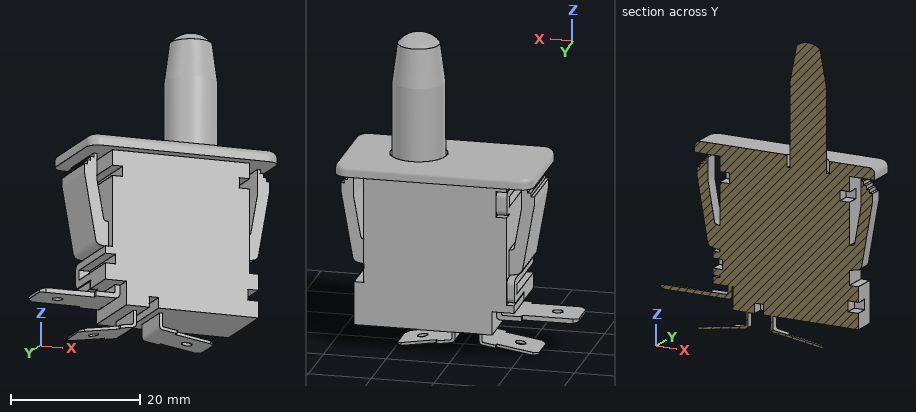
import cadquery as cq
import math

OVERALL_LENGTH = 37.77
OVERALL_HEIGHT = 50.29

PLATE_LENGTH = 31.65
PLATE_WIDTH = 17.0
PLATE_THICKNESS = 2.0
PLATE_CORNER_RADIUS = 2.0
PLATE_TOP_RADIUS = 1.0

PLUNGER_X = 4.14
PLUNGER_DIAMETER = 8.35
PLUNGER_BORE_DIAMETER = 9.0
PLUNGER_SHANK_HEIGHT = 11.75
PLUNGER_TAPER_HEIGHT = 6.25
PLUNGER_HEIGHT = 19.65
PLUNGER_TIP_DIAMETER = 6.7

BODY_LENGTH = 22.8
BODY_WIDTH = 13.0
BODY_BOTTOM_Z = -24.66
LEFT_LEDGE_X = -12.6
LEFT_LEDGE_TOP_Z = -15.5
LEFT_LEDGE_BOTTOM_Z = -20.86
LEFT_FOOT_X = -9.1
RIGHT_LEDGE_X = 12.95
RIGHT_LEDGE_TOP_Z = -17.62

SLOT_DEPTH = 1.7
SLOT_END_Y = 4.66
UPPER_SLOT_Z = -3.3
UPPER_SLOT_WIDTH = 1.65
LEFT_SLOT_Z = -17.48
LEFT_SLOT_WIDTH = 1.55
RIGHT_SLOT_Z = -21.08
RIGHT_SLOT_WIDTH = 1.7
RIGHT_SLOT_DEPTH = 1.82
BOTTOM_SLOT_X = -4.5
BOTTOM_SLOT_WIDTH = 1.55

STRAP_END_Y = 6.35
STRAP_WIDTH = 3.96
STRAP_CORNER_RADIUS = 1.0
STRAP_GAP = 0.1
LOWER_STRAP_GAP = 0.15

CLIP_WIDTH = 9.72
CLIP_TOP_Z = -0.37
CLIP_TIP_OUTER_X = 13.86
CLIP_INNER_X = 13.37
CLIP_STEP_RUN = 0.52
CLIP_STEP_DROP = 0.6
CLIP_STEP_COUNT = 3
CLIP_OUTER_KNEE_Z = -3.6
CLIP_INNER_KNEE_Z = -4.3
CLIP_ANGLE = math.radians(10)
CLIP_ROOT_TOP_Z = -11.15
CLIP_ROOT_BOTTOM_Z = -15.24
CLIP_INNER_RADIUS = 0.5
CLIP_OUTER_RADIUS = 1.0

BLADE_WIDTH = 6.3
BLADE_TIP_CHAMFER = 0.78
BLADE_HOLE_DIAMETER = 1.6
TIP_BEVEL_RATIO = 0.2
LEG_EMBED = 0.5

SIDE_TERMINAL_THICKNESS = 0.8
SIDE_TERMINAL_WIDTH = 7.85
SIDE_TERMINAL_CORNER_X = -9.17
SIDE_TERMINAL_BOTTOM_Z = -22.98
SIDE_TERMINAL_TIP_X = PLATE_LENGTH / 2 - OVERALL_LENGTH
SIDE_TERMINAL_SHOULDER = 8.82
SIDE_BEND_RADIUS = 0.3
SIDE_HOLE_FROM_TIP = 3.94

BOTTOM_TERMINAL_THICKNESS = 0.5
BOTTOM_TERMINAL_WIDTH = 7.58
BOTTOM_TERMINAL_DROOP = 9.0
BOTTOM_TERMINAL_LOWEST_Z = PLATE_THICKNESS + PLUNGER_HEIGHT - OVERALL_HEIGHT
BOTTOM_TERMINAL_SHOULDER = 6.65
BOTTOM_BEND_RADIUS = 0.35
BOTTOM_HOLE_FROM_TIP = 3.55
LEFT_TERMINAL_CORNER_X = -6.35
LEFT_TERMINAL_LENGTH = 9.3
RIGHT_TERMINAL_CORNER_X = -2.52
RIGHT_TERMINAL_LENGTH = 9.6


def block(x_min, x_max, y_min, y_max, z_min, z_max):
    """Box given by its limits along each axis."""
    size = (x_max - x_min, y_max - y_min, z_max - z_min)
    return cq.Workplane("XY").box(*size, centered=False).translate((x_min, y_min, z_min))


def extrude_across(points, width):
    """XZ outline extruded symmetrically about Y = 0."""
    return cq.Workplane("XZ").polyline(points).close().extrude(width / 2, both=True)


def round_edge(solid, x, z, radius):
    """Fillet the edge parallel to Y that passes through (x, z)."""
    return solid.edges("|Y").edges(cq.NearestToPointSelector((x, 0, z))).fillet(radius)


def make_plate():
    plate = cq.Workplane("XY").box(
        PLATE_LENGTH, PLATE_WIDTH, PLATE_THICKNESS, centered=(True, True, False)
    )
    plate = plate.edges("|Z").fillet(PLATE_CORNER_RADIUS)
    plate = plate.faces(">Z").edges().fillet(PLATE_TOP_RADIUS)
    bore = cq.Workplane("XY").center(PLUNGER_X, 0).circle(PLUNGER_BORE_DIAMETER / 2)
    return plate.cut(bore.extrude(PLATE_THICKNESS))


def make_plunger():
    shank_radius = PLUNGER_DIAMETER / 2
    tip_radius = PLUNGER_TIP_DIAMETER / 2
    taper_start_z = PLATE_THICKNESS + PLUNGER_SHANK_HEIGHT
    dome_start_z = taper_start_z + PLUNGER_TAPER_HEIGHT
    top_z = PLATE_THICKNESS + PLUNGER_HEIGHT
    dome_height = top_z - dome_start_z
    dome_radius = (tip_radius**2 + dome_height**2) / (2 * dome_height)
    half_angle = math.asin(tip_radius / dome_radius) / 2
    dome_middle = (
        dome_radius * math.sin(half_angle),
        top_z - dome_radius * (1 - math.cos(half_angle)),
    )
    profile = (
        cq.Workplane("XZ")
        .lineTo(shank_radius, 0)
        .lineTo(shank_radius, taper_start_z)
        .lineTo(tip_radius, dome_start_z)
        .threePointArc(dome_middle, (0, top_z))
        .close()
    )
    return profile.revolve(360, (0, 0, 0), (0, 1, 0)).translate((PLUNGER_X, 0, 0))


def make_housing():
    half_length = BODY_LENGTH / 2
    outline = [
        (-half_length, 0),
        (half_length, 0),
        (half_length, RIGHT_LEDGE_TOP_Z),
        (RIGHT_LEDGE_X, RIGHT_LEDGE_TOP_Z),
        (RIGHT_LEDGE_X, BODY_BOTTOM_Z),
        (LEFT_FOOT_X, BODY_BOTTOM_Z),
        (LEFT_FOOT_X, LEFT_LEDGE_BOTTOM_Z),
        (LEFT_LEDGE_X, LEFT_LEDGE_BOTTOM_Z),
        (LEFT_LEDGE_X, LEFT_LEDGE_TOP_Z),
        (-half_length, LEFT_LEDGE_TOP_Z),
    ]
    return extrude_across(outline, BODY_WIDTH)


def side_slot(face_x, depth, center_z, width):
    """Slot cut inward from the side face at face_x."""
    inner_x = face_x - math.copysign(depth, face_x)
    x_min, x_max = sorted((face_x, inner_x))
    z_min = center_z - width / 2
    return block(x_min, x_max, -BODY_WIDTH / 2, SLOT_END_Y, z_min, z_min + width)


def cut_slots(housing):
    half_length = BODY_LENGTH / 2
    slots = [
        side_slot(-half_length, SLOT_DEPTH, UPPER_SLOT_Z, UPPER_SLOT_WIDTH),
        side_slot(half_length, SLOT_DEPTH, UPPER_SLOT_Z, UPPER_SLOT_WIDTH),
        side_slot(LEFT_LEDGE_X, SLOT_DEPTH, LEFT_SLOT_Z, LEFT_SLOT_WIDTH),
        side_slot(RIGHT_LEDGE_X, RIGHT_SLOT_DEPTH, RIGHT_SLOT_Z, RIGHT_SLOT_WIDTH),
        block(
            BOTTOM_SLOT_X - BOTTOM_SLOT_WIDTH / 2,
            BOTTOM_SLOT_X + BOTTOM_SLOT_WIDTH / 2,
            -BODY_WIDTH / 2,
            SLOT_END_Y,
            BODY_BOTTOM_Z,
            BODY_BOTTOM_Z + SLOT_DEPTH,
        ),
    ]
    for slot in slots:
        housing = housing.cut(slot)
    return housing


def rounded_strap(x_min, x_max, y_min, center_z):
    """Strap end with rounded corners on its +Y side."""
    z_min = center_z - STRAP_WIDTH / 2
    strap = block(x_min, x_max, y_min, STRAP_END_Y, z_min, z_min + STRAP_WIDTH)
    return strap.edges("|X and >Y").fillet(STRAP_CORNER_RADIUS)


def upper_strap_gap():
    """Gap around the upper strap end, as deep as the strap slot."""
    x_min = -BODY_LENGTH / 2
    x_max = x_min + SLOT_DEPTH
    reach = STRAP_WIDTH / 2 + STRAP_GAP
    recess = block(
        x_min, x_max, SLOT_END_Y, BODY_WIDTH / 2, UPPER_SLOT_Z - reach, UPPER_SLOT_Z + reach
    )
    return recess.cut(rounded_strap(x_min, x_max, SLOT_END_Y, UPPER_SLOT_Z))


def lower_strap_gap():
    """Gap around the lower strap end and down to the ledge's lower face at mid-width."""
    x_min = LEFT_LEDGE_X
    x_max = -BODY_LENGTH / 2
    gap_bottom_z = LEFT_SLOT_Z - STRAP_WIDTH / 2 - LOWER_STRAP_GAP
    recess = block(x_min, x_max, 0, BODY_WIDTH / 2, gap_bottom_z, LEFT_LEDGE_TOP_Z)
    recess = recess.cut(rounded_strap(x_min, x_max, -BODY_WIDTH / 2, LEFT_SLOT_Z))
    split_y = LOWER_STRAP_GAP / 2
    split = block(
        x_min, x_max, -split_y, split_y, LEFT_LEDGE_BOTTOM_Z, gap_bottom_z + LOWER_STRAP_GAP
    )
    return recess.union(split)


def root_corner(knee_x, knee_z, root_z):
    """Point where an arm face, sloping in from its knee, meets a root face.

    The root face leaves the housing side at height root_z and rises outward at the clip angle.
    """
    slope = math.tan(CLIP_ANGLE)
    reach = (knee_x - BODY_LENGTH / 2 - (knee_z - root_z) * slope) / (1 - slope**2)
    return BODY_LENGTH / 2 + reach, root_z + reach * slope


def make_clip():
    """Right-hand snap-in clip with a stepped tip."""
    root_x = BODY_LENGTH / 2
    x = CLIP_TIP_OUTER_X
    z = CLIP_TOP_Z
    outline = [(CLIP_INNER_X, z), (x, z)]
    for _ in range(CLIP_STEP_COUNT):
        z -= CLIP_STEP_DROP
        outline.append((x, z))
        x += CLIP_STEP_RUN
        outline.append((x, z))
    outline.append((x, CLIP_OUTER_KNEE_Z))

    corner_x, corner_z = root_corner(x, CLIP_OUTER_KNEE_Z, CLIP_ROOT_BOTTOM_Z)
    inner_x, inner_z = root_corner(CLIP_INNER_X, CLIP_INNER_KNEE_Z, CLIP_ROOT_TOP_Z)
    outline += [
        (corner_x, corner_z),
        (root_x, CLIP_ROOT_BOTTOM_Z),
        (root_x, CLIP_ROOT_TOP_Z),
        (inner_x, inner_z),
        (CLIP_INNER_X, CLIP_INNER_KNEE_Z),
    ]
    clip = extrude_across(outline, CLIP_WIDTH)
    clip = round_edge(clip, corner_x, corner_z, CLIP_OUTER_RADIUS)
    return round_edge(clip, inner_x, inner_z, CLIP_INNER_RADIUS)


def make_terminal(thickness, width, length, shoulder, hole_from_tip, leg_length, bend_radius, droop):
    """Bent blade pointing to -X, its leg pointing up and its outer bend corner at the origin.

    It is formed with the blade flat and then turned so that the tip droops.
    """
    angle = math.radians(droop)
    bevel = thickness * TIP_BEVEL_RATIO
    bevel_x = BLADE_TIP_CHAMFER - length
    inner_x = -thickness * (1 - math.sin(angle)) / math.cos(angle)
    leg_top = (leg_length * math.sin(angle), leg_length * math.cos(angle))
    outline = [
        (0, 0),
        leg_top,
        (leg_top[0] - thickness * math.cos(angle), leg_top[1] + thickness * math.sin(angle)),
        (inner_x, thickness),
        (bevel_x, thickness),
        (-length, thickness - bevel),
        (-length, bevel),
        (bevel_x, 0),
    ]
    terminal = extrude_across(outline, width)
    terminal = round_edge(terminal, 0, 0, bend_radius + thickness / 2)
    terminal = round_edge(terminal, inner_x, thickness, bend_radius)

    half_blade = BLADE_WIDTH / 2
    half_tip = half_blade - BLADE_TIP_CHAMFER
    side_waste = [
        (-length, half_tip),
        (bevel_x, half_blade),
        (shoulder - length, half_blade),
        (shoulder - length, width),
        (-length, width),
    ]
    waste = cq.Workplane("XY").polyline(side_waste).close().extrude(thickness)
    terminal = terminal.cut(waste).cut(waste.mirror("XZ"))
    hole = cq.Workplane("XY").center(hole_from_tip - length, 0).circle(BLADE_HOLE_DIAMETER / 2)
    terminal = terminal.cut(hole.extrude(thickness))
    return terminal.rotate((0, 0, 0), (0, 1, 0), -droop)


def make_side_terminal():
    terminal = make_terminal(
        SIDE_TERMINAL_THICKNESS,
        SIDE_TERMINAL_WIDTH,
        SIDE_TERMINAL_CORNER_X - SIDE_TERMINAL_TIP_X,
        SIDE_TERMINAL_SHOULDER,
        SIDE_HOLE_FROM_TIP,
        LEFT_LEDGE_BOTTOM_Z - SIDE_TERMINAL_BOTTOM_Z + LEG_EMBED,
        SIDE_BEND_RADIUS,
        0,
    )
    return terminal.translate((SIDE_TERMINAL_CORNER_X, 0, SIDE_TERMINAL_BOTTOM_Z))


def make_bottom_terminal(length):
    """Drooping terminal with its bend corner on X = 0 and its tip at the lowest level."""
    angle = math.radians(BOTTOM_TERMINAL_DROOP)
    bevel = BOTTOM_TERMINAL_THICKNESS * TIP_BEVEL_RATIO
    tip_edge_z = bevel * math.cos(angle) - length * math.sin(angle)
    corner_z = BOTTOM_TERMINAL_LOWEST_Z - tip_edge_z
    terminal = make_terminal(
        BOTTOM_TERMINAL_THICKNESS,
        BOTTOM_TERMINAL_WIDTH,
        length,
        BOTTOM_TERMINAL_SHOULDER,
        BOTTOM_HOLE_FROM_TIP,
        BODY_BOTTOM_Z - corner_z + LEG_EMBED,
        BOTTOM_BEND_RADIUS,
        BOTTOM_TERMINAL_DROOP,
    )
    return terminal.translate((0, 0, corner_z))


housing = cut_slots(make_housing())
housing = housing.cut(upper_strap_gap()).cut(lower_strap_gap())

clip = make_clip()
left_terminal = make_bottom_terminal(LEFT_TERMINAL_LENGTH)
right_terminal = make_bottom_terminal(RIGHT_TERMINAL_LENGTH).mirror("YZ")

result = (
    housing.union(make_plate())
    .union(make_plunger())
    .union(clip)
    .union(clip.mirror("YZ"))
    .union(make_side_terminal())
    .union(left_terminal.translate((LEFT_TERMINAL_CORNER_X, 0, 0)))
    .union(right_terminal.translate((RIGHT_TERMINAL_CORNER_X, 0, 0)))
)